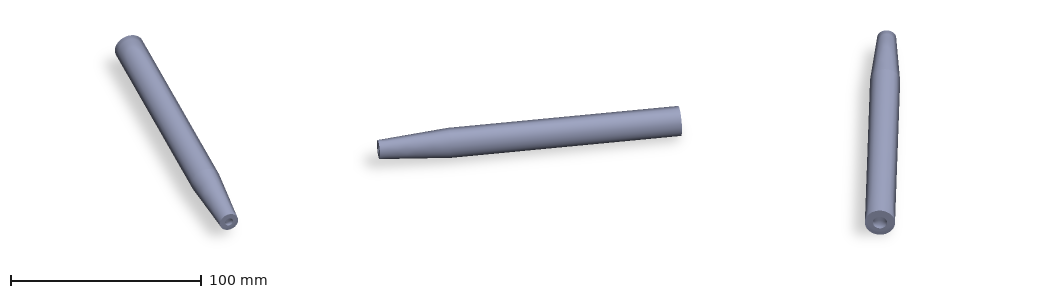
import cadquery as cq

total_length = 160.0
body_diameter = 15.8
nose_length = 37.5
nose_tip_diameter = 10.0

bore_diameter = 7.5
bore_exit_diameter = 4.5

body_length = total_length - nose_length


def make_tapered_rod(straight_diameter, tip_diameter):
    """Full-length rod: straight along the body, then tapering along the nose."""
    profile = (
        cq.Workplane("XZ")
        .lineTo(0, straight_diameter / 2)
        .lineTo(body_length, straight_diameter / 2)
        .lineTo(total_length, tip_diameter / 2)
        .lineTo(total_length, 0)
        .close()
    )
    return profile.revolve(360, (0, 0, 0), (1, 0, 0))


outside = make_tapered_rod(body_diameter, nose_tip_diameter)
bore = make_tapered_rod(bore_diameter, bore_exit_diameter)

result = outside.cut(bore)